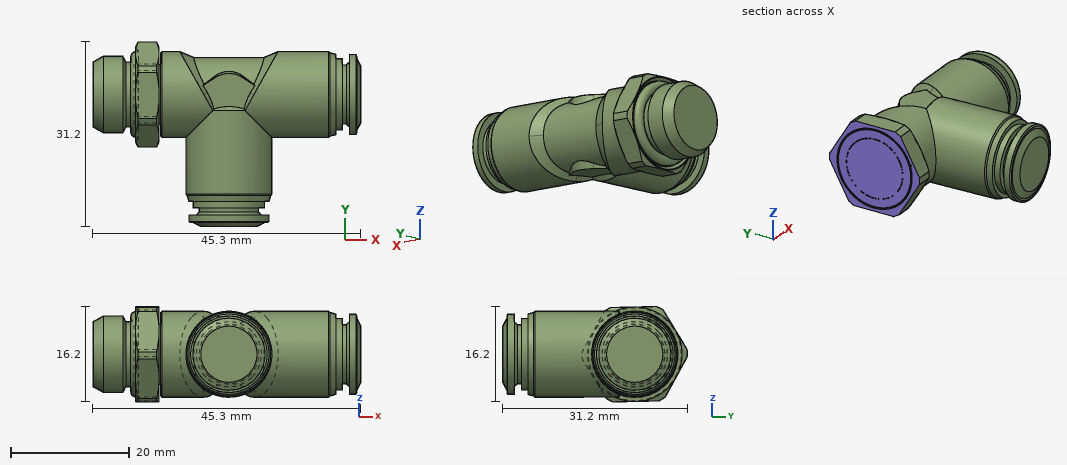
import cadquery as cq
import math


BODY_R = 7.28
BODY_LEFT_X = -11.55
BODY_EDGE_CHAMFER = 0.25
SOCKET_LENGTH = 16.85
CORE_R = 6.28

RELIEF_HALF_NARROW = 2.72
RELIEF_HALF_WIDE = 8.3
RELIEF_BACK_Y = BODY_R
RELIEF_SLOPE = (RELIEF_HALF_WIDE - RELIEF_HALF_NARROW) / (RELIEF_BACK_Y + RELIEF_HALF_NARROW)
SHOULDER_TAPER = 52
RUN_SHOULDER_DEPTH = 2.4
BRANCH_SHOULDER_DEPTH = 1.5

PAD_Z = 6.4
PAD_CORNER_X = 4.4
PAD_CORNER_Y = 1.5
PAD_APEX_Y = 4.4
PAD_APEX_RADIUS = 4.3
PAD_DRAFT = 14

COLLAR_END = 22.33
LIP_START = 17.1
LIP_START_R = 7.08
LIP_END_R = 6.8
LIP_END = 18.08
CARTRIDGE_R = 6.05
CARTRIDGE_END = 19.17
SLEEVE_R = 5.03
SLEEVE_END = 19.85
FLARE_R = 5.5
FLANGE_R = 6.8
FLANGE_START = 20.36
FLANGE_END = 21.64
FLANGE_BEVEL_START = 21.5
FLANGE_BEVEL_R = 6.47
NOSE_START_R = 6.1
NOSE_END_R = 4.75

STUD_END_X = -22.96
THREAD_R = 6.5
STUD_NECK_R = 5.52
STUD_LEAD_X = -21.2
THREAD_END_X = -17.94
NECK_START_X = -17.43

SEAL_X = -15.7
SEAL_CENTRE_R = 6.35
SEAL_SECTION_R = 0.9
SEAT_MOUTH_R = 7.85
SEAT_FLOOR_R = 7.35
SEAT_DEPTH = 0.5

NUT_LEFT_X = -15.8
NUT_RIGHT_X = -11.8
NUT_FLATS = 16.0
NUT_CORNER_R = 8.9
NUT_FACE_R = 8.0
NUT_CHAMFER = 0.42
HEXAGON_HALF_ANGLE = math.radians(180 / 6)
NUT_TURN = 1.3
SPINDLE_R = 5.1


def revolve_about_x(points):
    """Turn an (x, radius) outline, closed along the axis, about X."""
    axis_points = [(points[-1][0], 0), (points[0][0], 0)]
    outline = cq.Workplane("XY").polyline(points + axis_points).close()
    return outline.revolve(360, (0, 0, 0), (1, 0, 0))


def make_socket(inner_outline):
    """Barrel on +X carrying the release collar, begun by the given inner outline."""
    return revolve_about_x(inner_outline + [
        (SOCKET_LENGTH, BODY_R),
        (LIP_START, LIP_START_R),
        (LIP_END, LIP_END_R),
        (LIP_END, CARTRIDGE_R),
        (CARTRIDGE_END, CARTRIDGE_R),
        (CARTRIDGE_END, SLEEVE_R),
        (SLEEVE_END, SLEEVE_R),
        (FLANGE_START, FLARE_R),
        (FLANGE_START, FLANGE_R),
        (FLANGE_BEVEL_START, FLANGE_R),
        (FLANGE_END, FLANGE_BEVEL_R),
        (FLANGE_END, NOSE_START_R),
        (COLLAR_END, NOSE_END_R),
    ])


def make_relief():
    """Trapezoidal prism that opens toward +Y between the barrels."""
    clear_y = 2 * RELIEF_BACK_Y
    clear_half = RELIEF_HALF_WIDE + RELIEF_SLOPE * (clear_y - RELIEF_BACK_Y)
    return (
        cq.Workplane("XY")
        .polyline([
            (-RELIEF_HALF_NARROW, -RELIEF_HALF_NARROW),
            (RELIEF_HALF_NARROW, -RELIEF_HALF_NARROW),
            (clear_half, clear_y),
            (-clear_half, clear_y),
        ])
        .close()
        .extrude(2 * BODY_R, both=True)
    )


def make_run_shoulder():
    """Tapered shoulder on the slanted face of the left end of the run."""
    lean = math.atan(RELIEF_SLOPE)
    axis_x = -RELIEF_HALF_NARROW * (1 + RELIEF_SLOPE)
    plane = cq.Plane(
        origin=(axis_x, 0, 0),
        xDir=(math.sin(lean), -math.cos(lean), 0),
        normal=(math.cos(lean), math.sin(lean), 0),
    )
    section = cq.Workplane(plane).ellipse(BODY_R / math.cos(lean), BODY_R)
    return section.extrude(RUN_SHOULDER_DEPTH, taper=SHOULDER_TAPER)


def make_branch_shoulder():
    """Tapered shoulder on the inner end of the branch barrel."""
    plane = cq.Plane(origin=(0, -RELIEF_HALF_NARROW, 0), xDir=(1, 0, 0), normal=(0, 1, 0))
    section = cq.Workplane(plane).circle(BODY_R)
    return section.extrude(BRANCH_SHOULDER_DEPTH, taper=SHOULDER_TAPER)


def make_pad():
    """Upper pad: a flat top with a rounded peak toward +Y and drafted edges."""
    slope = (PAD_APEX_Y - PAD_CORNER_Y) / PAD_CORNER_X
    lean = math.atan(slope)
    tangent_x = PAD_APEX_RADIUS * math.sin(lean)
    tangent_y = PAD_APEX_Y - slope * tangent_x
    peak_y = PAD_APEX_Y - PAD_APEX_RADIUS * (1 / math.cos(lean) - 1)
    return (
        cq.Workplane("XY", origin=(0, 0, PAD_Z))
        .moveTo(-RELIEF_HALF_NARROW, -RELIEF_HALF_NARROW)
        .lineTo(RELIEF_HALF_NARROW, -RELIEF_HALF_NARROW)
        .lineTo(PAD_CORNER_X, PAD_CORNER_Y)
        .lineTo(tangent_x, tangent_y)
        .threePointArc((0, peak_y), (-tangent_x, tangent_y))
        .lineTo(-PAD_CORNER_X, PAD_CORNER_Y)
        .close()
        .extrude(-PAD_Z / 2, taper=-PAD_DRAFT)
    )


def make_body():
    run = make_socket([
        (BODY_LEFT_X, BODY_R - BODY_EDGE_CHAMFER),
        (BODY_LEFT_X + BODY_EDGE_CHAMFER, BODY_R),
    ])
    branch = make_socket([(0, BODY_R)]).rotate((0, 0, 0), (0, 0, 1), -90)
    body = run.union(branch).cut(make_relief())

    core = cq.Workplane("YZ").circle(CORE_R).extrude(RELIEF_HALF_WIDE, both=True)
    shoulder = make_run_shoulder()
    pad = make_pad()
    body = body.union(core).union(make_branch_shoulder())
    body = body.union(shoulder).union(shoulder.mirror("YZ"))
    return body.union(pad).union(pad.mirror("XY"))


def make_stud():
    return revolve_about_x([
        (STUD_END_X, STUD_NECK_R),
        (STUD_LEAD_X, THREAD_R),
        (THREAD_END_X, THREAD_R),
        (NECK_START_X, STUD_NECK_R),
        (NUT_LEFT_X + SEAT_DEPTH, STUD_NECK_R),
    ])


def make_seal():
    section = cq.Workplane("XY").center(SEAL_X, SEAL_CENTRE_R).circle(SEAL_SECTION_R)
    return section.revolve(360, (0, -SEAL_CENTRE_R, 0), (1, -SEAL_CENTRE_R, 0))


def make_nut():
    across_corners = NUT_FLATS / math.cos(HEXAGON_HALF_ANGLE)
    hexagon = (
        cq.Workplane("YZ", origin=(NUT_LEFT_X, 0, 0))
        .polygon(6, across_corners)
        .extrude(NUT_RIGHT_X - NUT_LEFT_X)
    )
    turned = revolve_about_x([
        (NUT_LEFT_X, NUT_FACE_R),
        (NUT_LEFT_X + NUT_CHAMFER, NUT_CORNER_R),
        (NUT_RIGHT_X - NUT_CHAMFER, NUT_CORNER_R),
        (NUT_RIGHT_X, NUT_FACE_R),
    ])
    seat = revolve_about_x([
        (NUT_LEFT_X, SEAT_MOUTH_R),
        (NUT_LEFT_X + SEAT_DEPTH, SEAT_FLOOR_R),
    ])
    return hexagon.intersect(turned).cut(seat).rotate((0, 0, 0), (1, 0, 0), NUT_TURN)


def make_spindle():
    return revolve_about_x([(NUT_RIGHT_X, SPINDLE_R), (BODY_LEFT_X, SPINDLE_R)])


result = make_body()
for piece in (make_spindle(), make_nut(), make_seal(), make_stud()):
    result = result.union(piece)